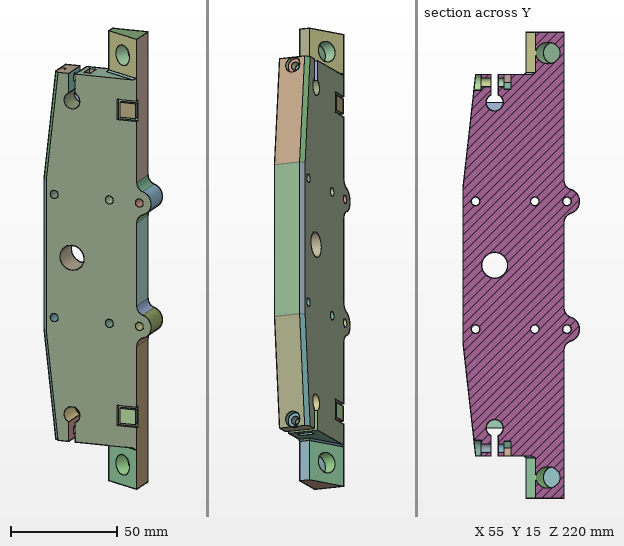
import cadquery as cq
import math

total_height = 220.0
thickness = 15.0

body_half_height = 90.0
body_right = 47.7
bend_z = 37.0
end_inset = 6.0
front_chamfer = 2.0

lug_x = 49.0
lug_radius = 6.0
lug_fillet = 4.5
bolt_row_z = 30.1
bolt_hole_diameter = 4.0
bolt_hole_xs = (6.0, 33.9, lug_x)

center_hole_x = 15.0
center_hole_diameter = 12.0

ear_left = 29.7
ear_side_depth = 5.0
ear_slope_angle = math.atan2(thickness - ear_side_depth, body_right - ear_left)
ear_flare = 0.9
ear_hole_x = 38.7
ear_hole_z = 100.0
ear_hole_diameter = 10.0
ear_hole_depth = 7.5

keyhole_z = 76.8
keyhole_diameter = 8.0
keyhole_slot = 3.3
keyhole_floor = 2.0

screw_y = 8.0
screw_z = 86.2
screw_diameter = 4.0
counterbore_diameter = 7.3
counterbore_end_x = 8.5
nut_x = 19.4
nut_length = 3.3
nut_corner_diameter = 7.3

pad_frame_left = 37.8
pad_frame_height = 10.0
pad_z = 74.8
pad_groove = 1.3
pad_edge_gap = 0.7
pad_groove_depth = 2.0


def box(x_min, x_max, y_min, y_max, z_min, z_max):
    size = (x_max - x_min, y_max - y_min, z_max - z_min)
    return cq.Workplane("XY").box(*size, centered=False).translate((x_min, y_min, z_min))


def y_cylinder(x, z, diameter, y_min, y_max):
    start = cq.Vector(x, y_min, z)
    return cq.Workplane(cq.Solid.makeCylinder(diameter / 2, y_max - y_min, start, cq.Vector(0, 1, 0)))


def x_cylinder(x_min, x_max, y, z, diameter):
    start = cq.Vector(x_min, y, z)
    return cq.Workplane(cq.Solid.makeCylinder(diameter / 2, x_max - x_min, start, cq.Vector(1, 0, 0)))


def front_prism(outline):
    """Extrude an outline in X and Z from the front face to the back face."""
    return outline.close().extrude(-thickness)


def body():
    plate = front_prism(
        cq.Workplane("XZ").polyline([
            (end_inset, -body_half_height),
            (body_right, -body_half_height),
            (body_right, body_half_height),
            (end_inset, body_half_height),
            (0, bend_z),
            (0, -bend_z),
        ])
    )
    margin = 0.2
    left_front_edges = cq.selectors.BoxSelector(
        (-margin, -margin, -body_half_height + margin), (end_inset, margin, body_half_height - margin)
    )
    return plate.edges(left_front_edges).chamfer(front_chamfer)


def lug(z):
    """Round lug blended into the body's right side by two concave arcs."""
    blend_x = body_right + lug_fillet
    center_distance = lug_radius + lug_fillet
    blend_z = math.sqrt(center_distance**2 - (blend_x - lug_x)**2)
    tangent_x = lug_x + (blend_x - lug_x) * lug_radius / center_distance
    tangent_z = blend_z * lug_radius / center_distance
    start_angle = math.pi
    end_angle = math.atan2(-blend_z, lug_x - blend_x) % (2 * math.pi)
    middle_angle = (start_angle + end_angle) / 2
    middle_x = blend_x + lug_fillet * math.cos(middle_angle)
    middle_z = blend_z + lug_fillet * math.sin(middle_angle)
    root_x = body_right - lug_radius
    return front_prism(
        cq.Workplane("XZ", origin=(0, 0, z))
        .moveTo(root_x, blend_z)
        .lineTo(body_right, blend_z)
        .threePointArc((middle_x, middle_z), (tangent_x, tangent_z))
        .threePointArc((lug_x + lug_radius, 0), (tangent_x, -tangent_z))
        .threePointArc((middle_x, -middle_z), (body_right, -blend_z))
        .lineTo(root_x, -blend_z)
    )


def ear():
    """Upper ear: a wedge whose sloped face runs out at the body's right front edge."""
    side_y = thickness - ear_side_depth
    wedge = (
        cq.Workplane("XY", origin=(0, 0, body_half_height))
        .polyline([(ear_left, thickness), (ear_left, side_y), (body_right, 0), (body_right, thickness)])
        .close()
        .extrude(total_height / 2 - body_half_height)
    )
    overshoot = 4.5
    slope = math.tan(ear_slope_angle)
    far_x = body_right + overshoot
    flare = (
        cq.Workplane("XY", origin=(0, 0, body_half_height))
        .polyline([
            (ear_left, thickness + overshoot),
            (ear_left, side_y),
            (far_x, -overshoot * slope),
            (far_x, thickness + overshoot),
        ])
        .close()
        .offset2D(ear_flare, "intersection")
        .extrude(ear_flare, taper=45)
    )
    limits = box(0, body_right, 0, thickness, body_half_height, total_height / 2)
    return wedge.union(flare.intersect(limits))


def ear_hole():
    """Blind hole square to the sloped face of the upper ear."""
    inward = cq.Vector(math.sin(ear_slope_angle), math.cos(ear_slope_angle), 0)
    face_y = (body_right - ear_hole_x) * math.tan(ear_slope_angle)
    lead_in = 2.2
    start = cq.Vector(ear_hole_x, face_y, ear_hole_z) - inward * lead_in
    return cq.Workplane(
        cq.Solid.makeCylinder(ear_hole_diameter / 2, ear_hole_depth + lead_in, start, inward)
    )


def keyhole():
    """Upper keyhole: right through except for a floor behind its inner half."""
    half_slot = keyhole_slot / 2
    slot = box(
        center_hole_x - half_slot, center_hole_x + half_slot, 0, thickness, keyhole_z, body_half_height
    )
    round_part = y_cylinder(center_hole_x, keyhole_z, keyhole_diameter, 0, thickness)
    floor = box(
        center_hole_x - keyhole_diameter, center_hole_x + keyhole_diameter,
        thickness - keyhole_floor, thickness,
        keyhole_z - keyhole_diameter, keyhole_z,
    )
    return slot.union(round_part.cut(floor))


def clamp_screw():
    """Upper counterbored screw hole with a hexagonal nut slot open to the body end."""
    hole = x_cylinder(0, nut_x + nut_length, screw_y, screw_z, screw_diameter)
    counterbore = x_cylinder(0, counterbore_end_x, screw_y, screw_z, counterbore_diameter)
    nut = (
        cq.Workplane("YZ", origin=(nut_x, screw_y, screw_z))
        .polygon(6, nut_corner_diameter)
        .extrude(nut_length)
    )
    half_nut = nut_corner_diameter / 2
    nut_slot = box(
        nut_x, nut_x + nut_length, screw_y - half_nut, screw_y + half_nut, screw_z, body_half_height
    )
    return hole.union(counterbore).union(nut).union(nut_slot)


def pad_frame():
    """Groove around the upper square pad."""
    half_frame = pad_frame_height / 2
    half_pad = half_frame - pad_groove
    pocket = box(
        pad_frame_left, body_right, 0, pad_groove_depth, pad_z - half_frame, pad_z + half_frame
    )
    pad = box(
        pad_frame_left + pad_groove, body_right - pad_edge_gap, 0, pad_groove_depth,
        pad_z - half_pad, pad_z + half_pad,
    )
    return pocket.cut(pad)


def both_ends(shape):
    """The shape together with its mirror image below the middle."""
    return shape.union(shape.mirror("XY"))


result = body().union(both_ends(lug(bolt_row_z))).union(both_ends(ear()))

for end_feature in (ear_hole(), keyhole(), clamp_screw(), pad_frame()):
    result = result.cut(both_ends(end_feature))

for hole_x in bolt_hole_xs:
    bolt_hole = y_cylinder(hole_x, bolt_row_z, bolt_hole_diameter, 0, thickness)
    result = result.cut(both_ends(bolt_hole))

result = result.cut(y_cylinder(center_hole_x, 0, center_hole_diameter, 0, thickness))